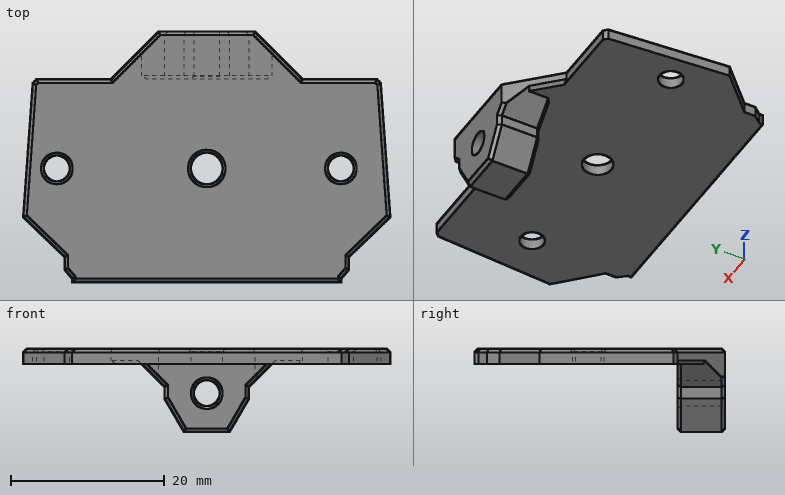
import cadquery as cq

plate_thickness = 2.0
edge_chamfer = 0.5
half_width = 23.9
front_y = -14.8
rear_y = 17.8
shoulder_y = 11.6
widest_y = -6.3
shoulder_half_width = 22.65
shoulder_corner = 0.53
tab_half_width = 6.25
foot_half_width = 18.5
foot_top_y = -11.5
foot_bottom_y = -13.15
front_half_width = 17.55
front_corner_y = -14.3

left_hole_x = -19.5
right_hole_x = 17.45
center_hole_diameter = 4.1
small_hole_diameter = 3.35
hole_chamfer = 0.4

lug_bottom_z = -10.85
lug_root_half_width = 8.45
lug_waist_half_width = 5.5
lug_waist_top_z = -plate_thickness - (lug_root_half_width - lug_waist_half_width)
lug_waist_bottom_z = -6.5
lug_bottom_half_width = 2.95
lug_hole_z = -5.8
lug_overlap = 1.0


def mirrored(right_side):
    """Complete a right-hand outline with its mirror image about x = 0."""
    return right_side + [(-x, y) for x, y in reversed(right_side)]


tab_slope_width = tab_half_width + rear_y - shoulder_y
plate_outline = mirrored([
    (tab_half_width, rear_y),
    (tab_slope_width, shoulder_y),
    (shoulder_half_width - shoulder_corner, shoulder_y),
    (shoulder_half_width, shoulder_y - shoulder_corner),
    (half_width, widest_y),
    (foot_half_width, foot_top_y),
    (foot_half_width, foot_bottom_y),
    (front_half_width, front_corner_y),
    (front_half_width, front_y),
])
tab_outline = mirrored([(tab_half_width, rear_y), (tab_slope_width, shoulder_y)])
lug_outline = mirrored([
    (lug_root_half_width + lug_overlap, lug_overlap - plate_thickness),
    (lug_waist_half_width, lug_waist_top_z),
    (lug_waist_half_width, lug_waist_bottom_z),
    (lug_bottom_half_width, lug_bottom_z),
])


def make_plate():
    """Plate with its top edges and the lower edges of the tab slopes chamfered."""
    plate = cq.Workplane("XY").polyline(plate_outline).close().extrude(-plate_thickness)
    plate = plate.faces(">Z").edges().chamfer(edge_chamfer)
    tab_slopes = plate.faces("<Z").edges("|(1,1,0) or |(1,-1,0)")
    return plate.newObject(
        [edge for edge in tab_slopes.vals() if edge.Center().y > shoulder_y]
    ).chamfer(edge_chamfer)


def make_lug():
    """Lug with chamfered front and rear rims, trimmed to the tab outline."""
    lug = cq.Workplane("XZ", origin=(0, rear_y, 0)).polyline(lug_outline).close()
    lug = lug.extrude(rear_y - shoulder_y)
    lug = lug.faces("<Y or >Y").edges().chamfer(edge_chamfer)
    tab_prism = cq.Workplane("XY").polyline(tab_outline).close().extrude(lug_bottom_z)
    return lug.intersect(tab_prism)


def hole_cutter(plane, diameter, depth):
    """Through-hole cutter with a chamfered mouth at the start plane."""
    radius = diameter / 2
    profile = [
        (0, 0),
        (radius + hole_chamfer, 0),
        (radius, -hole_chamfer),
        (radius, -depth),
        (0, -depth),
    ]
    cutter = cq.Workplane("XZ").polyline(profile).close().revolve(360, (0, 0), (0, 1))
    return cutter.val().moved(plane.location)


result = make_plate().union(make_lug())

for hole_x, diameter in (
    (left_hole_x, small_hole_diameter),
    (0, center_hole_diameter),
    (right_hole_x, small_hole_diameter),
):
    mouth = cq.Plane.named("XY", origin=(hole_x, 0, 0))
    result = result.cut(hole_cutter(mouth, diameter, plate_thickness))

lug_mouth = cq.Plane.named("XZ", origin=(0, shoulder_y, lug_hole_z))
result = result.cut(hole_cutter(lug_mouth, small_hole_diameter, rear_y - shoulder_y))